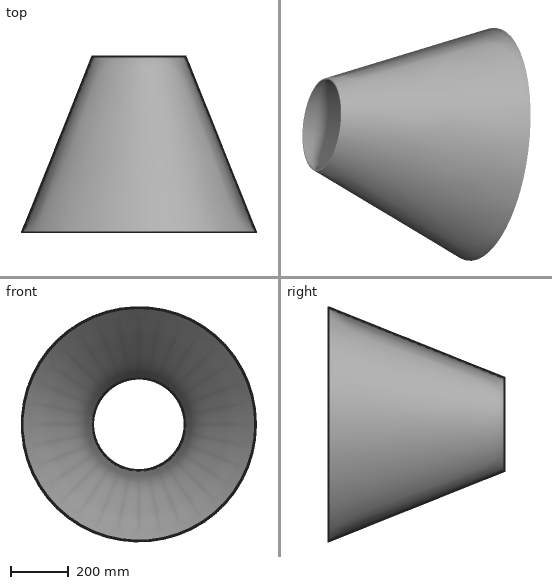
import cadquery as cq

LENGTH = 610.0
LARGE_DIAMETER = 812.8
SMALL_DIAMETER = 323.9
WALL = 4.0


def reducer():
    """Revolve the sloped wall section about the Y axis."""
    large_radius = LARGE_DIAMETER / 2
    small_radius = SMALL_DIAMETER / 2
    wall_section = cq.Workplane("XY").polyline([
        (large_radius - WALL, 0),
        (large_radius, 0),
        (small_radius, LENGTH),
        (small_radius - WALL, LENGTH),
    ]).close()
    return wall_section.revolve(360, (0, 0, 0), (0, 1, 0))


result = reducer()